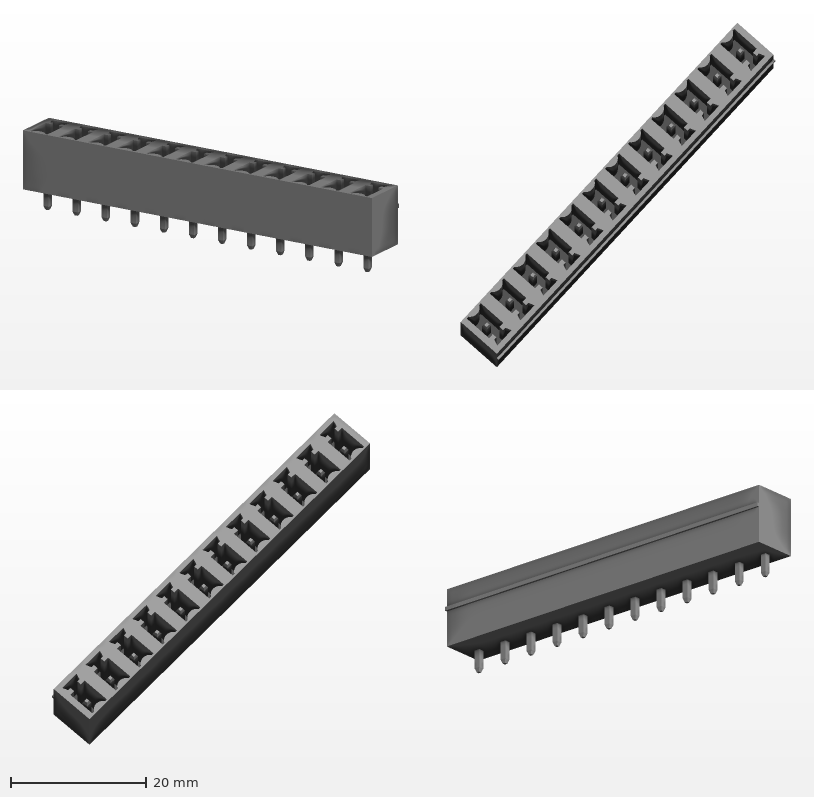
import cadquery as cq
import math

length = 60.95
contact_count = 12
pitch = length / contact_count
body_depth = 7.2
body_height = 9.15

rib_thickness = 0.35
rib_height = 0.6
rib_drop = 3.25

pocket_depth = 7.3
pocket_width = 3.1
pocket_front = 0.3
shoulder = 4.75
neck_width = 1.45
neck_end = 5.5
dovetail_narrow_width = 2.45
dovetail_wide_width = 3.1
pocket_back = 6.4

key_width = 2.4
key_reach = 0.7

pin_size = 0.9
pin_position = 2.85
pin_protrusion = 3.5
pin_top_drop = 1.8
tip_size = 0.5
tip_length = 0.6

contact_positions = [((i + 0.5) * pitch - length / 2, 0) for i in range(contact_count)]


def make_body():
    body = cq.Workplane("XY").box(length, body_depth, body_height, centered=(True, False, False))
    rib = (
        cq.Workplane("XY")
        .box(length, rib_thickness, rib_height, centered=(True, False, True))
        .translate((0, body_depth, body_height - rib_drop))
    )
    return body.union(rib)


def make_pocket():
    """Pocket volume: wide chamber with a rounded key, then a neck and a dovetail."""
    return (
        cq.Workplane("XY", origin=(0, 0, body_height - pocket_depth))
        .moveTo(-pocket_width / 2, pocket_front)
        .lineTo(-key_width / 2, pocket_front)
        .threePointArc((0, pocket_front + key_reach), (key_width / 2, pocket_front))
        .lineTo(pocket_width / 2, pocket_front)
        .lineTo(pocket_width / 2, shoulder)
        .lineTo(neck_width / 2, shoulder)
        .lineTo(neck_width / 2, neck_end)
        .lineTo(dovetail_narrow_width / 2, neck_end)
        .lineTo(dovetail_wide_width / 2, pocket_back)
        .lineTo(-dovetail_wide_width / 2, pocket_back)
        .lineTo(-dovetail_narrow_width / 2, neck_end)
        .lineTo(-neck_width / 2, neck_end)
        .lineTo(-neck_width / 2, shoulder)
        .lineTo(-pocket_width / 2, shoulder)
        .close()
        .extrude(pocket_depth)
    )


def make_pin():
    """Square pin with its axis on X = 0, made of a straight shank and two tapered tips."""
    taper = math.degrees(math.atan2((pin_size - tip_size) / 2, tip_length))
    shank_length = body_height - pin_top_drop + pin_protrusion - 2 * tip_length
    shank = (
        cq.Workplane("XY", origin=(0, pin_position, tip_length - pin_protrusion))
        .rect(pin_size, pin_size)
        .extrude(shank_length)
    )
    for end in ("<Z", ">Z"):
        shank = shank.faces(end).workplane().rect(pin_size, pin_size).extrude(tip_length, taper=taper)
    return shank


def at_each_contact(shape):
    copies = cq.Workplane("XY").pushPoints(contact_positions)
    return copies.eachpoint(lambda place: shape.val().moved(place))


result = make_body().cut(at_each_contact(make_pocket())).union(at_each_contact(make_pin()))